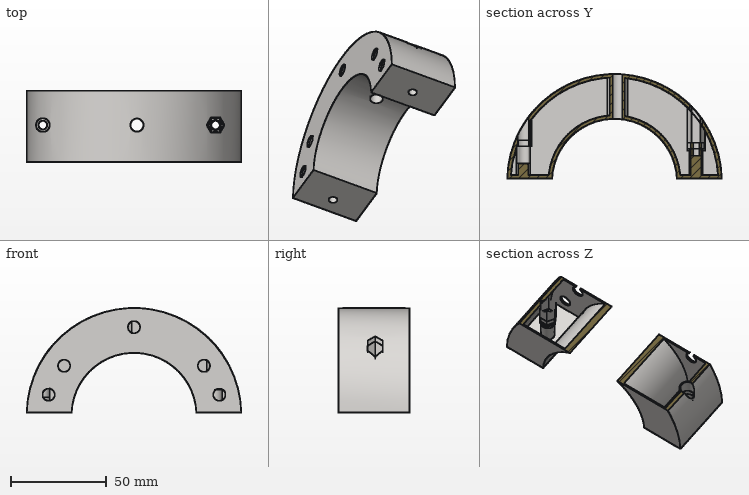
import cadquery as cq
import math

outer_radius = 56.0
inner_radius = 32.5
ring_width = 37.25
base_z = 1.34
edge_chamfer = 0.1

above_ring = outer_radius + 1.0

wall = 2.0
face_wall = 1.0
cavity_floor = base_z + wall

front_hole_diameter = 6.35
low_hole_x = 44.5
low_hole_z = 10.75
mid_hole_x = 36.45
mid_hole_z = 25.8
top_hole_z = 45.95

bore_y = 0.625
screw_x = -47.5
hose_x = 1.55
nut_x = 42.5

screw_hole_diameter = 4.4
sleeve_diameter = 7.2

head_post_top = 9.4
head_sleeve_top = 21.3
head_sleeve_bore = 7.0
head_boss_wall = 0.8
head_boss_overlap = 3.0
head_boss_diameter = sleeve_diameter + 2 * head_boss_wall
head_boss_bottom = head_sleeve_top - head_boss_overlap

nut_post_top = 13.4
pocket_floor = 17.0
pocket_flats = 7.8
pocket_wall = 0.15
pocket_floor_thickness = 1.0
nut_boss_flats = pocket_flats + 2 * pocket_wall
nut_boss_bottom = pocket_floor - pocket_floor_thickness
nut_flats = 7.2
nut_height = 3.2
nut_bore = 5.4

hose_diameter = 6.7
hose_tube_flats = 9.3


def half_ring(outside, inside, width, bottom):
    """Ring about the Y axis, kept only above `bottom`."""
    ring = cq.Workplane("XZ").circle(outside).circle(inside).extrude(width / 2, both=True)
    keep = cq.Workplane("XY", origin=(0, 0, bottom)).rect(2 * above_ring, 2 * width).extrude(above_ring)
    return ring.intersect(keep)


def round_bar(x, diameter, bottom, top):
    """Upright cylinder on the line of bores."""
    return cq.Workplane("XY", origin=(x, bore_y, bottom)).circle(diameter / 2).extrude(top - bottom)


def hex_bar(x, flats, bottom, top):
    """Upright hexagonal prism on the line of bores, two of its corners along X."""
    corners = flats / math.cos(math.pi / 6)
    return cq.Workplane("XY", origin=(x, bore_y, bottom)).polygon(6, corners).extrude(top - bottom)


def make_housing():
    ring = half_ring(outer_radius, inner_radius, ring_width, base_z)
    ring = ring.faces("<Y or >Y").edges("%CIRCLE").chamfer(edge_chamfer)
    cavity = half_ring(outer_radius - wall, inner_radius + wall, ring_width - 2 * face_wall, cavity_floor)
    shell = ring.cut(cavity)

    openings = [(0, top_hole_z)]
    for side in (-1, 1):
        openings += [(side * low_hole_x, low_hole_z), (side * mid_hole_x, mid_hole_z)]
    drill = cq.Workplane("XZ", origin=(0, -ring_width / 2 + face_wall, 0)).pushPoints(openings)
    shell = shell.cut(drill.circle(front_hole_diameter / 2).extrude(face_wall))

    supports = [
        round_bar(screw_x, sleeve_diameter, base_z, head_post_top),
        round_bar(screw_x, head_boss_diameter, head_boss_bottom, above_ring),
        round_bar(nut_x, sleeve_diameter, base_z, nut_post_top),
        hex_bar(nut_x, nut_boss_flats, nut_boss_bottom, above_ring),
        hex_bar(hose_x, hose_tube_flats, base_z, above_ring),
    ]
    for support in supports:
        shell = shell.union(support.intersect(ring))

    bores = [
        round_bar(screw_x, screw_hole_diameter, 0, above_ring),
        round_bar(screw_x, sleeve_diameter, head_post_top, above_ring),
        round_bar(nut_x, screw_hole_diameter, 0, above_ring),
        round_bar(nut_x, sleeve_diameter, nut_post_top, pocket_floor),
        hex_bar(nut_x, pocket_flats, pocket_floor, above_ring),
        round_bar(hose_x, hose_diameter, 0, above_ring),
    ]
    for bore in bores:
        shell = shell.cut(bore)
    return shell


def make_sleeve(x, bore, bottom, top):
    return round_bar(x, sleeve_diameter, bottom, top).cut(round_bar(x, bore, bottom, top))


def make_nut():
    nut_top = pocket_floor + nut_height
    hole = round_bar(nut_x, nut_bore, pocket_floor, nut_top)
    return hex_bar(nut_x, nut_flats, pocket_floor, nut_top).cut(hole)


housing = make_housing()
head_sleeve = make_sleeve(screw_x, head_sleeve_bore, head_post_top, head_sleeve_top)
nut_sleeve = make_sleeve(nut_x, nut_bore, nut_post_top, pocket_floor)
nut = make_nut()

result = cq.Compound.makeCompound([housing.val(), head_sleeve.val(), nut_sleeve.val(), nut.val()])